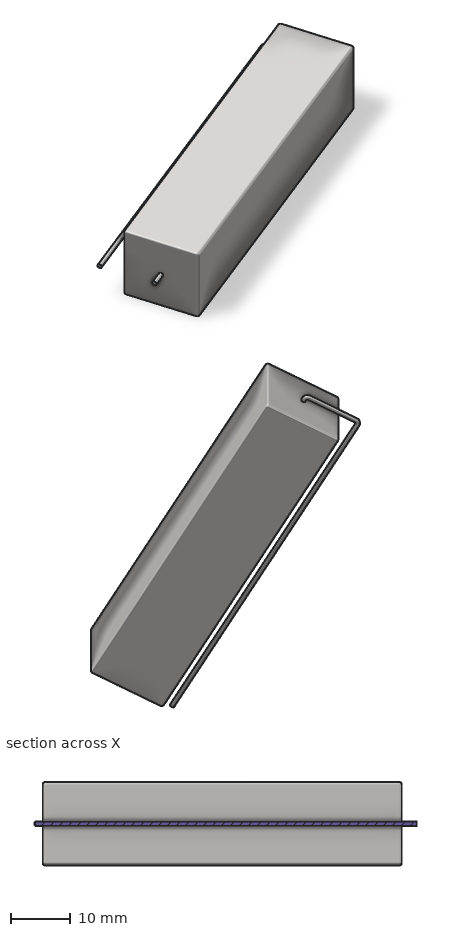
import cadquery as cq

total_width = 17.6
total_length = 63.9

body_side = 14.0
body_length = 60.0
edge_radius = 0.5

wire_radius = 0.4
front_lead_length = 2.5
bend_radius = 0.65

body_front = front_lead_length
body_back = body_front + body_length
crossbar_y = total_length - wire_radius
return_x = body_side / 2 - total_width + wire_radius


def make_body():
    """Square bar along Y with every edge rounded."""
    body = cq.Workplane("XY").box(body_side, body_length, body_side)
    return body.edges().fillet(edge_radius).translate((0, (body_front + body_back) / 2, 0))


def make_front_lead():
    """Short straight lead, ending inside the body."""
    lead = cq.Workplane("XZ").circle(wire_radius)
    return lead.extrude(-(front_lead_length + edge_radius))


def make_return_lead():
    """Lead that leaves the back, bends twice and runs forward beside the body."""
    bend_y = crossbar_y - bend_radius
    start_y = body_back - edge_radius
    path = (
        cq.Workplane("XY")
        .moveTo(0, start_y)
        .lineTo(0, bend_y)
        .tangentArcPoint((-bend_radius, crossbar_y), relative=False)
        .lineTo(return_x + bend_radius, crossbar_y)
        .tangentArcPoint((return_x, bend_y), relative=False)
        .lineTo(return_x, 0)
    )
    return cq.Workplane("XZ", origin=(0, start_y, 0)).circle(wire_radius).sweep(path)


result = make_body().union(make_front_lead()).union(make_return_lead())